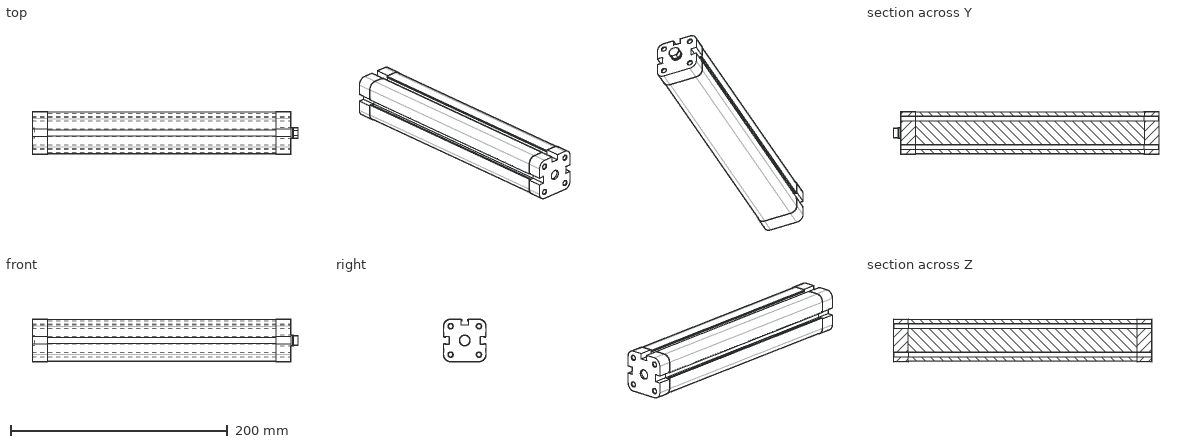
import cadquery as cq

total_length = 245.0
housing_length = 238.5
cap_length = 13.7
tube_length = housing_length - 2 * cap_length
rear_face_x = -total_length / 2
tube_start_x = rear_face_x + cap_length
front_cap_x = tube_start_x + tube_length
front_face_x = front_cap_x + cap_length
rod_tip_x = total_length / 2

cap_width = 39.5
cap_corner_radius = 6.5
tube_width = 38.7
tube_corner_radius = 6.4

slot_angles = (0, 90, 180)
slot_width = 6.9
slot_floor = 14.5
tube_slot_mouth = 5.5
tube_lip_thickness = 1.5

screw_spacing = 26.2
screw_hole_diameter = 4.2
screw_hole_mouth_diameter = 5.1

recess_diameter = 9.0
recess_depth = 2.0

rod_diameter = 10.0
rod_end_chamfer = 0.3
rod_flat_distance = 9.0
rod_groove_offset = 1.5
rod_groove_width = 0.7
rod_groove_depth = 0.12
rod_flat_length = rod_tip_x - front_face_x - rod_groove_offset - rod_groove_width


def section_plane(x):
    """Plane across the axis at x; its local axes are Y and Z and it faces +X."""
    return cq.Workplane("YZ", origin=(x, 0, 0))


def rounded_bar(x, length, width, corner_radius):
    """Square bar along X with rounded long edges."""
    return section_plane(x).rect(width, width).extrude(length).edges("|X").fillet(corner_radius)


def slot_cutter(x, length, inner, outer, width):
    """Bars along X that fill the three slots between two distances from the axis."""
    bar = section_plane(x).center((inner + outer) / 2, 0).rect(outer - inner, width).extrude(length)
    cutter = cq.Workplane("YZ")
    for angle in slot_angles:
        cutter = cutter.add(bar.rotate((0, 0, 0), (1, 0, 0), angle))
    return cutter.combine()


def cut_screw_holes(body, x, length):
    """Drill the four corner holes through a body that starts at x."""
    drills = section_plane(x).rect(screw_spacing, screw_spacing, forConstruction=True).vertices()
    return body.cut(drills.circle(screw_hole_diameter / 2).extrude(length))


def make_cap(x, outer_face):
    """End cap with plain slots and screw holes countersunk in its outer face."""
    cap = rounded_bar(x, cap_length, cap_width, cap_corner_radius)
    cap = cap.cut(slot_cutter(x, cap_length, slot_floor, cap_width, slot_width))
    cap = cut_screw_holes(cap, x, cap_length)
    countersink = (screw_hole_mouth_diameter - screw_hole_diameter) / 2
    hole_rims = cap.faces(outer_face).edges(cq.selectors.RadiusNthSelector(0))
    return hole_rims.chamfer(countersink)


def make_rear_cap():
    """End cap with a shallow round recess in its outer face."""
    recess = section_plane(rear_face_x).circle(recess_diameter / 2).extrude(recess_depth)
    return make_cap(rear_face_x, "<X").cut(recess)


def make_front_cap():
    """End cap with a bore for the piston rod."""
    bore = section_plane(front_cap_x).circle(rod_diameter / 2).extrude(cap_length)
    return make_cap(front_cap_x, ">X").cut(bore)


def make_tube():
    """Barrel profile whose slots narrow to a mouth between two lips."""
    lip_inner = tube_width / 2 - tube_lip_thickness
    tube = rounded_bar(tube_start_x, tube_length, tube_width, tube_corner_radius)
    tube = tube.cut(slot_cutter(tube_start_x, tube_length, slot_floor, lip_inner, slot_width))
    tube = tube.cut(slot_cutter(tube_start_x, tube_length, lip_inner, tube_width, tube_slot_mouth))
    return cut_screw_holes(tube, tube_start_x, tube_length)


def make_rod():
    """Rod with a fine groove, two wrench flats and a chamfered tip."""
    radius = rod_diameter / 2
    rod = section_plane(front_cap_x).circle(radius).extrude(rod_tip_x - front_cap_x)
    rod = rod.faces(">X").edges().chamfer(rod_end_chamfer)

    groove_ring = section_plane(front_face_x + rod_groove_offset)
    groove_ring = groove_ring.circle(radius).circle(radius - rod_groove_depth).extrude(rod_groove_width)
    rod = rod.cut(groove_ring)

    for side in (1, -1):
        flat_cutter = (
            section_plane(rod_tip_x - rod_flat_length)
            .center(0, side * (rod_flat_distance + rod_diameter) / 2)
            .rect(2 * rod_diameter, rod_diameter)
            .extrude(rod_flat_length)
        )
        rod = rod.cut(flat_cutter)
    return rod


rear_cap = make_rear_cap()
tube = make_tube()
front_cap = make_front_cap()
rod = make_rod()

result = cq.Compound.makeCompound([rear_cap.val(), tube.val(), front_cap.val(), rod.val()])